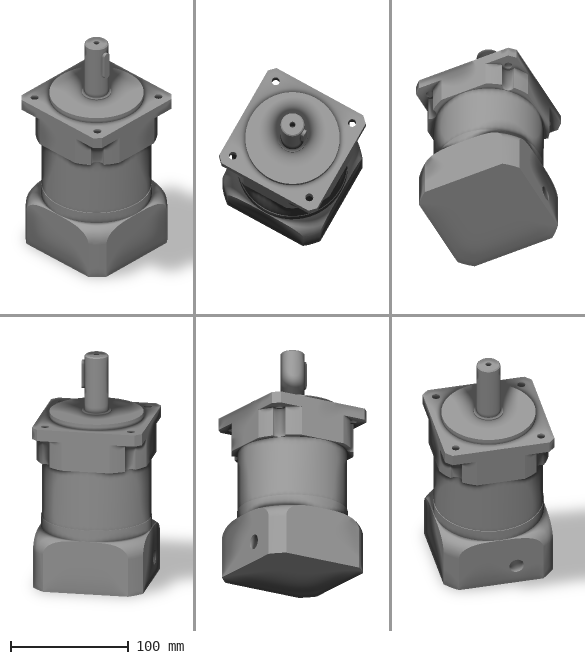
import cadquery as cq
import math

total_height = 198.5
square_side = 95.0

housing_height = 46.5
housing_dia = 120.0
shoulder_radius = 13.1

access_hole_dia = 12.7
access_hole_y = -13.5
access_hole_z = 17.3
access_floor_dia = 40.0

ring_dia = 94.0
ring_height = 10.0
body_dia = 92.9
body_height = 52.0

block_dia = 103.8
block_height = 25.0
flange_thickness = 10.0
flange_corner_chamfer = 5.4
bolt_circle_dia = 105.0
bolt_hole_dia = 6.7
bolt_groove_dia = 11.1

pilot_dia = 80.0
pilot_height = 5.0
collar_dia = 25.0
collar_height = 1.0
shaft_dia = 20.0
shaft_chamfer = 1.0

key_width = 6.0
key_length = 24.8
key_outer_x = 12.5
key_seat_x = 6.5
key_top_gap = 5.5

centre_hole_dia = 5.0
centre_hole_depth = 15.9
drill_point_angle = 118.0

ring_bottom = housing_height
body_bottom = ring_bottom + ring_height
block_bottom = body_bottom + body_height
flange_bottom = block_bottom + block_height
flange_top = flange_bottom + flange_thickness
pilot_top = flange_top + pilot_height

bolt_offset = bolt_circle_dia / 2 * math.sqrt(0.5)
bolt_points = [(sx * bolt_offset, sy * bolt_offset) for sx in (-1, 1) for sy in (-1, 1)]


def cylinder(diameter, bottom, height):
    return cq.Workplane("XY").workplane(offset=bottom).circle(diameter / 2).extrude(height)


def square_bar(bottom, height):
    return cq.Workplane("XY").workplane(offset=bottom).rect(square_side, square_side).extrude(height)


def make_housing():
    drum = cylinder(housing_dia, 0, housing_height).faces(">Z").edges().fillet(shoulder_radius)
    return drum.intersect(square_bar(0, housing_height))


def make_access_hole():
    tool = (
        cq.Workplane("YZ")
        .center(access_hole_y, access_hole_z)
        .circle(access_hole_dia / 2)
        .extrude(-square_side)
    )
    return tool.cut(cylinder(access_floor_dia, 0, housing_height))


def make_flange_block():
    block = cylinder(block_dia, block_bottom, block_height)
    block = block.intersect(square_bar(block_bottom, block_height))
    grooves = (
        cq.Workplane("XY")
        .workplane(offset=block_bottom)
        .pushPoints(bolt_points)
        .circle(bolt_groove_dia / 2)
        .extrude(block_height)
    )
    return block.cut(grooves)


def make_flange():
    plate = square_bar(flange_bottom, flange_thickness).edges("|Z").chamfer(flange_corner_chamfer)
    holes = (
        cq.Workplane("XY")
        .workplane(offset=flange_bottom)
        .pushPoints(bolt_points)
        .circle(bolt_hole_dia / 2)
        .extrude(flange_thickness)
    )
    return plate.cut(holes)


def make_shaft():
    shaft = cylinder(shaft_dia, pilot_top, total_height - pilot_top)
    return shaft.faces(">Z").chamfer(shaft_chamfer)


def make_key():
    key_centre_z = total_height - key_top_gap - key_length / 2
    return (
        cq.Workplane("YZ")
        .workplane(offset=key_seat_x)
        .center(0, key_centre_z)
        .slot2D(key_length, key_width, 90)
        .extrude(key_outer_x - key_seat_x)
    )


def make_centre_hole():
    radius = centre_hole_dia / 2
    point_length = radius / math.tan(math.radians(drill_point_angle / 2))
    wall_bottom = total_height - centre_hole_depth
    return (
        cq.Workplane("XZ")
        .moveTo(0, total_height)
        .lineTo(radius, total_height)
        .lineTo(radius, wall_bottom)
        .lineTo(0, wall_bottom - point_length)
        .close()
        .revolve(360, (0, 0, 0), (0, 1, 0))
    )


result = (
    make_housing()
    .union(cylinder(ring_dia, ring_bottom, ring_height))
    .union(cylinder(body_dia, body_bottom, body_height))
    .union(make_flange_block())
    .union(make_flange())
    .union(cylinder(pilot_dia, flange_top, pilot_height))
    .union(cylinder(collar_dia, pilot_top, collar_height))
    .union(make_shaft())
    .union(make_key())
    .cut(make_access_hole())
    .cut(make_centre_hole())
)